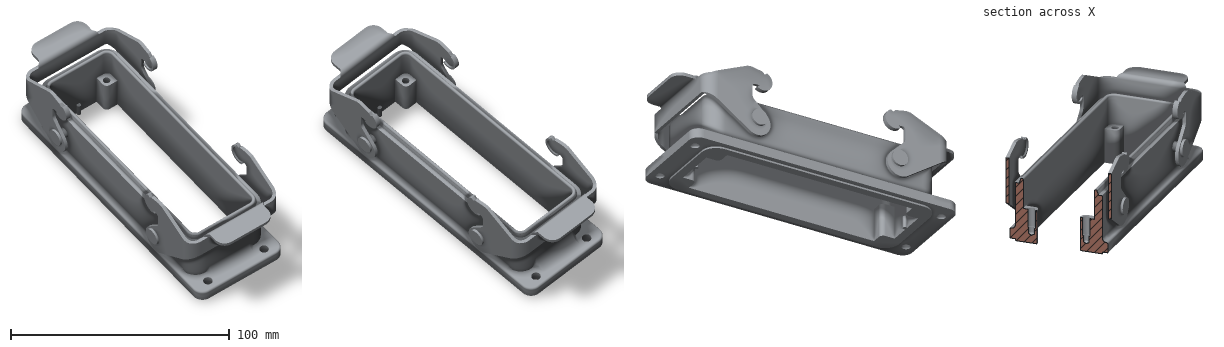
import cadquery as cq
import math

WALL_X, WALL_Y = 60.2, 21.5
WALL_CORNER = 7.6
OPENING_X, OPENING_Y = 55.9, 17.3
OPENING_CORNER = 3.0
WALL_TOP = 29.0
RIM_TOP = 30.6
RIM_WIDTH = 1.6
RIM_SLOPE = 0.6
BEAD_RADIUS = RIM_WIDTH / 2

FLANGE_X, FLANGE_Y = 70.0, 24.2
FLANGE_CORNER = 5.1
FLANGE_BOTTOM, FLANGE_TOP = 0.9, 6.1
FLANGE_EDGE_RADIUS = 0.9
MOUNT_HOLE_DIAMETER = 4.3
MOUNT_HOLE_X, MOUNT_HOLE_Y = 65.0, 16.0

SIDE_RAMP_RADIUS = 1.6
SIDE_RAMP_HALF_LENGTH = WALL_X - WALL_CORNER
LEFT_RAMP_RADIUS = 5.0
RIGHT_RAMP_RADIUS = 2.5
END_RAMP_HALF_LENGTH = 11.4
RAMP_FLARE = 2.2
RAMP_TIP_RADIUS = 0.07
OVERLAP = 0.7

BOSS_X, BOSS_Y = 48.9, 10.6
BOSS_TOP = 16.7
BOSS_CORNER = 2.2
SCREW_X, SCREW_Y = 52.0, 13.5
SCREW_DIAMETER = 2.5
SCREW_MOUTH_DIAMETER = 3.5
SCREW_DEPTH = 12.0
SCREW_MOUTH_DEPTH = 9.0
DRILL_TIP_ANGLE = 118

NUB_DIAMETER = 2.1
NUB_X = 55.1
NUB_TOP = 6.0

SHEET = 1.6
LEVER_BACK_X = 64.7
LEVER_SIDE_Y = 26.0
LEVER_BEND_RADIUS = 6.0
LEVER_BACK_TOP, LEVER_BACK_BOTTOM = 36.2, 26.6
BACK_TRIM_MARGIN = 4.3
BACK_TRIM_DROP = 3.1
PIN_X, PIN_Z = 37.0, 18.7
PIN_DIAMETER, PIN_HEAD_DIAMETER = 4.8, 8.0
PIN_HEAD_Y = 27.2

EYE_X, EYE_Z, EYE_RADIUS = 37.8, 16.5, 6.9
HOOK_X, HOOK_Z, HOOK_RADIUS = 34.8, 38.8, 5.0
NOSE_START, NOSE_END = 66, 233
NOSE_MIDDLE = (NOSE_START + NOSE_END - 360) / 2
NICK_EDGE_X, NICK_EDGE_Z = 35.1, 43.6
NICK_X, NICK_Z = 33.9, 42.5
LEVER_TOP = 44.7
CROWN_X, CROWN_HALF_WIDTH, CROWN_RISE = 41.4, 1.6, 0.1
SHOULDER_WIDTH = 2.8
THROAT_X, THROAT_TOP = 40.3, 36.0
THROAT_FRONT_X = 36.8
THROAT_CORNER = 1.5
FRONT_SLANT = 45
FRONT_BEND_LENGTH = 1.2
LIP_WIDTH = 1.0
LIP_HEIGHT = 0.82

TAB_END_X = 74.7
TAB_HALF_WIDTH = 15.1
TAB_CORNER = 5.4
TAB_TOP = 38.4
TAB_BEND_RADIUS = 0.6
TAB_FLARE = 2.1


def rounded_block(half_x, half_y, corner, bottom, top):
    block = cq.Workplane("XY").workplane(offset=bottom).rect(2 * half_x, 2 * half_y).extrude(top - bottom)
    return block.edges("|Z").fillet(corner)


def four_corners(x, y):
    return [(sx * x, sy * y) for sx in (-1, 1) for sy in (-1, 1)]


def polar(center_x, center_z, radius, degrees):
    angle = math.radians(degrees)
    return (center_x + radius * math.cos(angle), center_z + radius * math.sin(angle))


def sealing_bead():
    """Round cord around the opening, half sunk into the rim's top."""
    center_y = OPENING_Y + BEAD_RADIUS
    path_corner = OPENING_CORNER + BEAD_RADIUS
    path = (
        cq.Workplane("XY").workplane(offset=RIM_TOP)
        .rect(2 * (OPENING_X - OPENING_CORNER), 2 * (OPENING_Y - OPENING_CORNER))
        .offset2D(path_corner)
    )
    return cq.Workplane("YZ").center(center_y, RIM_TOP).circle(BEAD_RADIUS).sweep(path)


def ramp(wall_distance, radius, half_length):
    """Concave ramp along X against the wall at -Y, running out to a point at both ends."""
    flared_length = half_length + RAMP_FLARE

    def section(x, section_radius):
        toe = -wall_distance - section_radius
        top = FLANGE_TOP + section_radius
        arc_middle = polar(toe, top, section_radius, -45)
        buried_y = -wall_distance + OVERLAP
        buried_z = FLANGE_TOP - OVERLAP
        outline = (
            cq.Workplane("YZ").workplane(offset=x)
            .moveTo(-wall_distance, top)
            .threePointArc(arc_middle, (toe, FLANGE_TOP))
            .lineTo(toe, buried_z)
            .lineTo(buried_y, buried_z)
            .lineTo(buried_y, top)
            .close()
        )
        return outline.val()

    sections = [section(-flared_length, RAMP_TIP_RADIUS), section(-half_length, radius),
                section(half_length, radius), section(flared_length, RAMP_TIP_RADIUS)]
    return cq.Workplane(cq.Solid.makeLoft(sections, True))


def frame():
    wall = rounded_block(WALL_X, WALL_Y, WALL_CORNER, 0, WALL_TOP)
    foot = RIM_WIDTH + RIM_SLOPE
    rim_height = RIM_TOP - WALL_TOP
    rim = (
        cq.Workplane("XY").workplane(offset=WALL_TOP)
        .rect(2 * (OPENING_X - OPENING_CORNER), 2 * (OPENING_Y - OPENING_CORNER))
        .offset2D(OPENING_CORNER + foot)
        .extrude(rim_height, taper=math.degrees(math.atan(RIM_SLOPE / rim_height)))
    )
    flange = rounded_block(FLANGE_X, FLANGE_Y, FLANGE_CORNER, FLANGE_BOTTOM, FLANGE_TOP)
    flange = flange.faces(">Z").edges().fillet(FLANGE_EDGE_RADIUS)
    mount_holes = (
        cq.Workplane("XY").pushPoints(four_corners(MOUNT_HOLE_X, MOUNT_HOLE_Y))
        .circle(MOUNT_HOLE_DIAMETER / 2).extrude(FLANGE_TOP)
    )
    body = wall.union(rim).union(flange.cut(mount_holes))
    side_ramp = ramp(WALL_Y, SIDE_RAMP_RADIUS, SIDE_RAMP_HALF_LENGTH)
    left_ramp = ramp(WALL_X, LEFT_RAMP_RADIUS, END_RAMP_HALF_LENGTH)
    right_ramp = ramp(WALL_X, RIGHT_RAMP_RADIUS, END_RAMP_HALF_LENGTH)
    for ramp_body, turn in ((side_ramp, 0), (side_ramp, 180), (left_ramp, -90), (right_ramp, 90)):
        body = body.union(ramp_body.rotate((0, 0, 0), (0, 0, 1), turn))
    opening = rounded_block(OPENING_X, OPENING_Y, OPENING_CORNER, 0, RIM_TOP)
    return body.cut(opening).union(sealing_bead())


def screw_boss():
    """Boss in the +X +Y corner with a stepped blind screw hole."""
    size_x = OPENING_X - BOSS_X + OVERLAP
    size_y = OPENING_Y - BOSS_Y + OVERLAP
    block = cq.Workplane("XY").box(size_x, size_y, BOSS_TOP, centered=False)
    block = block.edges("|Z and <X and <Y").fillet(BOSS_CORNER).translate((BOSS_X, BOSS_Y, 0))
    radius = SCREW_DIAMETER / 2
    mouth_radius = SCREW_MOUTH_DIAMETER / 2
    mouth_bottom = BOSS_TOP - SCREW_MOUTH_DEPTH
    hole_bottom = BOSS_TOP - SCREW_DEPTH
    tip_height = radius / math.tan(math.radians(DRILL_TIP_ANGLE / 2))
    hole = (
        cq.Workplane("XZ")
        .polyline([(0, BOSS_TOP), (mouth_radius, BOSS_TOP), (mouth_radius, mouth_bottom),
                   (radius, mouth_bottom), (radius, hole_bottom), (0, hole_bottom - tip_height)])
        .close().revolve(360, (0, 0), (0, 1)).translate((SCREW_X, SCREW_Y, 0))
    )
    return block.cut(hole)


def cheek_profile():
    """Side outline of the left lever: back edge, hook nose, hook throat and rounded eye."""
    shoulder_x = LEVER_BACK_X - SHOULDER_WIDTH
    crown_side_z = LEVER_TOP - CROWN_RISE
    throat_center = (THROAT_CORNER - THROAT_X, THROAT_TOP - THROAT_CORNER)

    slant_end = polar(-EYE_X, EYE_Z, EYE_RADIUS, FRONT_SLANT)
    bend_z = slant_end[1] + (slant_end[0] + THROAT_X) * math.tan(math.radians(FRONT_SLANT))
    bend_radius = FRONT_BEND_LENGTH / math.tan(math.radians(FRONT_SLANT / 2))
    bend_center = (bend_radius - THROAT_X, bend_z + FRONT_BEND_LENGTH)

    back_dx, back_dz = EYE_X - LEVER_BACK_X, LEVER_BACK_BOTTOM - EYE_Z
    to_back = math.degrees(math.atan2(back_dz, back_dx))
    tangent_angle = to_back + math.degrees(math.acos(EYE_RADIUS / math.hypot(back_dx, back_dz)))
    eye_middle_angle = (tangent_angle - 360 + FRONT_SLANT) / 2

    return (
        cq.Workplane("XZ")
        .moveTo(-LEVER_BACK_X, LEVER_BACK_BOTTOM)
        .lineTo(-LEVER_BACK_X, LEVER_BACK_TOP)
        .lineTo(-shoulder_x, LEVER_BACK_TOP)
        .lineTo(-CROWN_X - CROWN_HALF_WIDTH, crown_side_z)
        .threePointArc((-CROWN_X, LEVER_TOP), (-CROWN_X + CROWN_HALF_WIDTH, crown_side_z))
        .lineTo(-NICK_EDGE_X, NICK_EDGE_Z)
        .lineTo(-NICK_X, NICK_Z)
        .lineTo(*polar(-HOOK_X, HOOK_Z, HOOK_RADIUS, NOSE_START))
        .threePointArc(polar(-HOOK_X, HOOK_Z, HOOK_RADIUS, NOSE_MIDDLE),
                       polar(-HOOK_X, HOOK_Z, HOOK_RADIUS, NOSE_END))
        .lineTo(-THROAT_FRONT_X, THROAT_TOP)
        .lineTo(throat_center[0], THROAT_TOP)
        .threePointArc(polar(*throat_center, THROAT_CORNER, 135), (-THROAT_X, throat_center[1]))
        .lineTo(-THROAT_X, bend_center[1])
        .threePointArc(polar(*bend_center, bend_radius, 180 + FRONT_SLANT / 2),
                       polar(*bend_center, bend_radius, 180 + FRONT_SLANT))
        .lineTo(*slant_end)
        .threePointArc(polar(-EYE_X, EYE_Z, EYE_RADIUS, eye_middle_angle),
                       polar(-EYE_X, EYE_Z, EYE_RADIUS, tangent_angle))
        .close()
    )


def bracket():
    """U-shaped sheet bent around the left end, trimmed to the cheek outline."""
    def bent_block(inset):
        block = (
            cq.Workplane("XY")
            .rect(2 * (LEVER_BACK_X - inset), 2 * (LEVER_SIDE_Y - inset)).extrude(LEVER_TOP)
        )
        return block.edges("|Z").fillet(LEVER_BEND_RADIUS - inset)

    sheet = bent_block(0).cut(bent_block(SHEET))
    sheet = sheet.intersect(cheek_profile().extrude(LEVER_SIDE_Y, both=True))
    inner_y = LEVER_SIDE_Y - SHEET
    flat_y = LEVER_SIDE_Y - BACK_TRIM_MARGIN
    slope_bottom = LEVER_BACK_BOTTOM - BACK_TRIM_DROP
    below_back = (
        cq.Workplane("YZ").workplane(offset=-LEVER_BACK_X)
        .polyline([(-inner_y, 0), (-inner_y, slope_bottom), (-flat_y, LEVER_BACK_BOTTOM),
                   (flat_y, LEVER_BACK_BOTTOM), (inner_y, slope_bottom), (inner_y, 0)])
        .close().extrude(LEVER_BEND_RADIUS)
    )
    return sheet.cut(below_back)


def hook_lip(side):
    """Narrow rim around the hook nose, raised toward the inside of the lever."""
    inner = HOOK_RADIUS - LIP_WIDTH
    lip = (
        cq.Workplane("XZ")
        .moveTo(*polar(-HOOK_X, HOOK_Z, HOOK_RADIUS, NOSE_START))
        .threePointArc(polar(-HOOK_X, HOOK_Z, HOOK_RADIUS, NOSE_MIDDLE),
                       polar(-HOOK_X, HOOK_Z, HOOK_RADIUS, NOSE_END))
        .lineTo(*polar(-HOOK_X, HOOK_Z, inner, NOSE_END))
        .threePointArc(polar(-HOOK_X, HOOK_Z, inner, NOSE_MIDDLE),
                       polar(-HOOK_X, HOOK_Z, inner, NOSE_START))
        .close().extrude(-SHEET - LIP_HEIGHT)
        .translate((0, -LEVER_SIDE_Y, 0))
    )
    return lip if side < 0 else lip.mirror("XZ")


def pin(side):
    """Headed pivot pin from the wall to outside the lever cheek."""
    shaft_start = WALL_Y - OVERLAP
    shaft = cq.Workplane("XZ").circle(PIN_DIAMETER / 2).extrude(PIN_HEAD_Y - shaft_start)
    shaft = shaft.translate((0, -shaft_start, 0))
    head = cq.Workplane("XZ").circle(PIN_HEAD_DIAMETER / 2).extrude(PIN_HEAD_Y - LEVER_SIDE_Y)
    whole = shaft.union(head.translate((0, -LEVER_SIDE_Y, 0))).translate((-PIN_X, 0, PIN_Z))
    return whole if side < 0 else whole.mirror("XZ")


def finger_tab():
    """Horizontal tab bent outward from the top of the bracket's back."""
    under = TAB_TOP - SHEET
    outer_radius = TAB_BEND_RADIUS + SHEET
    bend_x = -LEVER_BACK_X - TAB_BEND_RADIUS
    bend_z = under - TAB_BEND_RADIUS
    width = TAB_HALF_WIDTH + TAB_FLARE
    section = (
        cq.Workplane("XZ")
        .moveTo(-TAB_END_X, under)
        .lineTo(-TAB_END_X, TAB_TOP)
        .lineTo(bend_x, TAB_TOP)
        .threePointArc(polar(bend_x, bend_z, outer_radius, 45), (bend_x + outer_radius, bend_z))
        .lineTo(bend_x + TAB_BEND_RADIUS, bend_z)
        .threePointArc(polar(bend_x, bend_z, TAB_BEND_RADIUS, 45), (bend_x, under))
        .close().extrude(width, both=True)
    )
    root_x = bend_x + outer_radius
    plan = (
        cq.Workplane("XY").polyline([
            (-TAB_END_X, -TAB_HALF_WIDTH), (bend_x, -TAB_HALF_WIDTH), (root_x, -width),
            (root_x, width), (bend_x, TAB_HALF_WIDTH), (-TAB_END_X, TAB_HALF_WIDTH)])
        .close().extrude(TAB_TOP).edges("|Z and <X").fillet(TAB_CORNER)
    )
    return section.intersect(plan)


def lever():
    left = bracket().union(finger_tab())
    for side in (-1, 1):
        left = left.union(hook_lip(side)).union(pin(side))
    return left


def end_nub():
    return cq.Workplane("XY").center(-NUB_X, 0).circle(NUB_DIAMETER / 2).extrude(NUB_TOP)


result = frame()
boss = screw_boss()
for corner_boss in (boss, boss.mirror("XZ"), boss.mirror("YZ"), boss.mirror("XZ").mirror("YZ")):
    result = result.union(corner_boss)
left_end = lever()
for end_part in (left_end, end_nub()):
    result = result.union(end_part).union(end_part.mirror("YZ"))